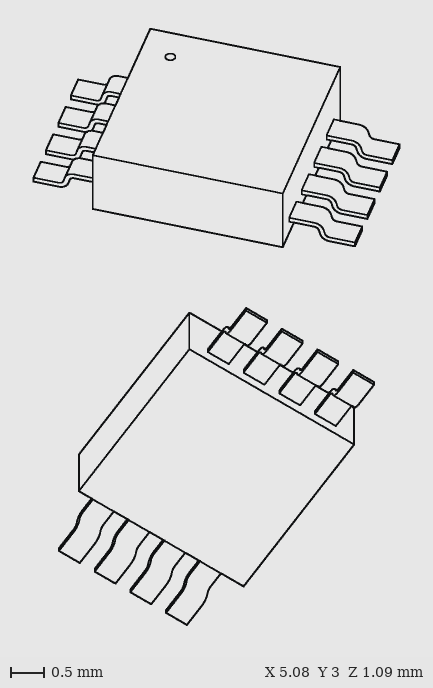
import cadquery as cq
import math

overall_length = 5.08
housing_side = 3.0
housing_height = 1.09

marker_diameter = 0.15
marker_depth = 0.025
marker_inset = 0.48

leads_per_side = 4
lead_pitch = 0.65
lead_width = 0.38
lead_thickness = 0.08
foot_length = 0.4
shoulder_top = 0.315
bend_inner_radius = 0.075
bend_angle = math.radians(75)

first_lead_y = lead_pitch * (leads_per_side - 1) / 2
lead_ys = [first_lead_y - i * lead_pitch for i in range(leads_per_side)]
marker_x = marker_inset - housing_side / 2
marker_y = first_lead_y
marker_floor = housing_height - marker_depth


def make_marker():
    """Disc whose top face is level with the housing top."""
    return (
        cq.Workplane("XY", origin=(marker_x, marker_y, marker_floor))
        .circle(marker_diameter / 2)
        .extrude(marker_depth)
    )


def make_housing():
    """Plain block with a matching recess for the marker."""
    block = cq.Workplane("XY").box(
        housing_side, housing_side, housing_height, centered=(True, True, False)
    )
    return block.cut(make_marker())


def make_lead(y):
    """Lead on the -X side: foot, bend up, sloping riser, bend back to level, shoulder."""
    toe_x = -overall_length / 2
    foot_z = lead_thickness / 2
    shoulder_z = shoulder_top - lead_thickness / 2

    bend_radius = bend_inner_radius + lead_thickness / 2
    bend_run = bend_radius * math.sin(bend_angle)
    bend_rise = bend_radius * (1 - math.cos(bend_angle))
    riser_rise = shoulder_z - foot_z - 2 * bend_rise
    riser_run = riser_rise / math.tan(bend_angle)

    heel_x = toe_x + foot_length
    riser_bottom = (heel_x + bend_run, foot_z + bend_rise)
    riser_top = (riser_bottom[0] + riser_run, riser_bottom[1] + riser_rise)
    shoulder_start = (riser_top[0] + bend_run, shoulder_z)

    centre_line = (
        cq.Workplane("XZ", origin=(0, y, 0))
        .moveTo(toe_x, foot_z)
        .lineTo(heel_x, foot_z)
        .tangentArcPoint(riser_bottom, relative=False)
        .lineTo(*riser_top)
        .tangentArcPoint(shoulder_start, relative=False)
        .lineTo(-housing_side / 2, shoulder_z)
    )
    return (
        cq.Workplane("YZ", origin=(toe_x, y, foot_z))
        .rect(lead_width, lead_thickness)
        .sweep(centre_line)
    )


housing = make_housing()
marker = make_marker()

leads = []
for lead_y in lead_ys:
    lead = make_lead(lead_y)
    leads.append(lead.val())
    leads.append(lead.rotate((0, 0, 0), (0, 0, 1), 180).val())

result = cq.Compound.makeCompound([housing.val(), marker.val(), *leads])